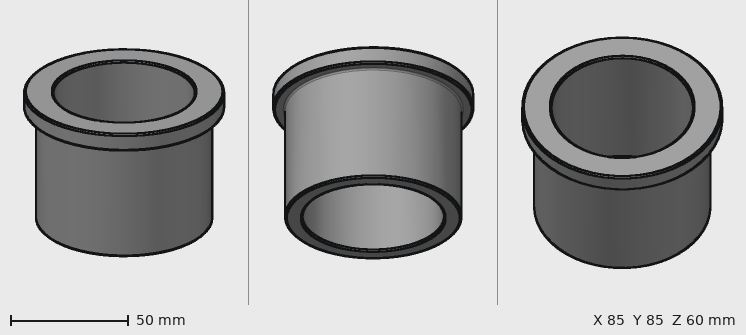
import cadquery as cq

flange_diameter = 85.0
sleeve_diameter = 75.0
bore_diameter = 60.0
total_height = 60.0
flange_thickness = 8.0
edge_chamfer = 0.8
root_fillet = 0.8

flange_radius = flange_diameter / 2
sleeve_radius = sleeve_diameter / 2
bore_radius = bore_diameter / 2
flange_bottom = total_height - flange_thickness


def chamfered_disc(radius, bottom, top):
    """Solid disc with both rims chamfered."""
    disc = cq.Workplane("XY").workplane(offset=bottom).circle(radius).extrude(top - bottom)
    return disc.faces("<Z or >Z").edges().chamfer(edge_chamfer)


def root_fillet_ring():
    """Ring that rounds the corner between the sleeve and the underside of the flange."""
    corner = (
        cq.Workplane("XZ")
        .moveTo(bore_radius, flange_bottom)
        .lineTo(sleeve_radius + root_fillet, flange_bottom)
        .radiusArc((sleeve_radius, flange_bottom - root_fillet), -root_fillet)
        .lineTo(bore_radius, flange_bottom - root_fillet)
        .close()
    )
    return corner.revolve(360, (0, 0, 0), (0, 1, 0))


sleeve = chamfered_disc(sleeve_radius, 0, total_height)
flange = chamfered_disc(flange_radius, flange_bottom, total_height)
body = sleeve.union(flange).union(root_fillet_ring())

bored = body.cut(cq.Workplane("XY").circle(bore_radius).extrude(total_height))
result = bored.faces("<Z or >Z").edges(cq.selectors.RadiusNthSelector(0)).chamfer(edge_chamfer)